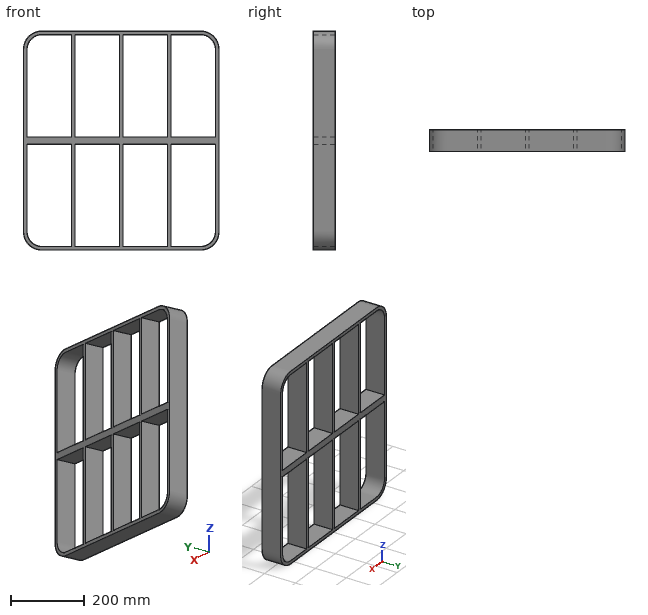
import cadquery as cq

width = 532.0
depth = 60.0
height = 596.0

wall = 10.0
corner_radius = 50.0
divider_thickness = 10.0
crossbar_thickness = 20.0
columns = 4

inner_width = width - 2 * wall
inner_height = height - 2 * wall
column_pitch = (inner_width + divider_thickness) / columns


def rounded_block(block_width, block_height, radius):
    """Full-depth block with its four Y-direction edges rounded."""
    return cq.Workplane("XY").box(block_width, depth, block_height).edges("|Y").fillet(radius)


outer = rounded_block(width, height, corner_radius)
opening = rounded_block(inner_width, inner_height, corner_radius - wall)
result = outer.cut(opening)

crossbar = cq.Workplane("XY").box(width - wall, depth, crossbar_thickness)
result = result.union(crossbar)

for index in range(1, columns):
    divider_x = (index - columns / 2) * column_pitch
    divider = cq.Workplane("XY").box(divider_thickness, depth, height - wall)
    result = result.union(divider.translate((divider_x, 0, 0)))